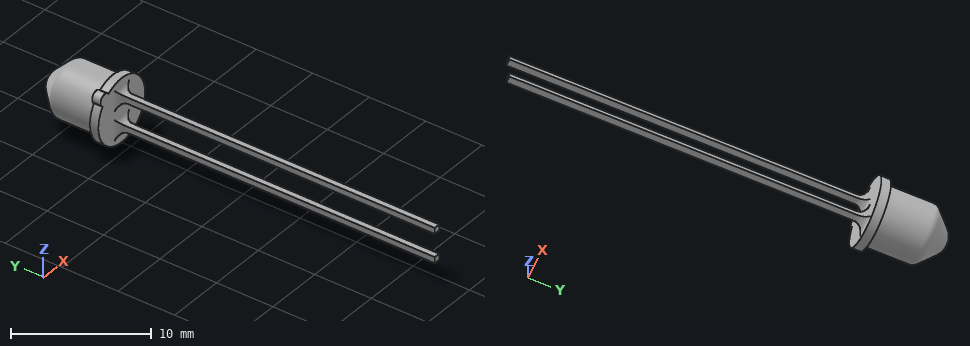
import cadquery as cq
import math

total_length = 34.3
lens_length = 6.38
lens_radius = 2.35
shoulder_radius = 0.72
nose_radius = 1.5
flange_diameter = 5.6
flange_thickness = 0.75
tab_offset = 2.02
tab_radius = 0.5
lead_width = 0.55
lead_spacing = 2.55
flare_radius = 0.72

flange_radius = flange_diameter / 2
lead_length = total_length - lens_length
cone_angle = 45.0
diagonal = math.cos(math.radians(cone_angle))


def arc_point(center_r, center_y, radius, angle):
    """Point on a profile arc; the angle in degrees is measured from the radial direction."""
    turn = math.radians(angle)
    return (center_r + radius * math.cos(turn), center_y + radius * math.sin(turn))


def make_lens():
    """Cylinder with a rounded shoulder, a 45 degree cone and a spherical nose, all tangent."""
    shoulder_r = lens_radius - shoulder_radius
    nose_y = lens_length - nose_radius
    cone_start_r = shoulder_r + shoulder_radius * diagonal
    cone_end_r = nose_radius * diagonal
    cone_end_y = nose_y + nose_radius * diagonal
    cone_start_y = cone_end_y - (cone_start_r - cone_end_r)
    shoulder_y = cone_start_y - shoulder_radius * diagonal
    return (
        cq.Workplane("XY")
        .lineTo(lens_radius, 0)
        .lineTo(lens_radius, shoulder_y)
        .threePointArc(
            arc_point(shoulder_r, shoulder_y, shoulder_radius, cone_angle / 2),
            (cone_start_r, cone_start_y),
        )
        .lineTo(cone_end_r, cone_end_y)
        .threePointArc(arc_point(0, nose_y, nose_radius, 90 - cone_angle / 2), (0, lens_length))
        .close()
        .revolve(360, (0, 0, 0), (0, 1, 0))
    )


def make_flange():
    """Round flange with a small round tab on its upper -X side."""
    base = cq.Workplane("XZ")
    disc = base.circle(flange_radius).extrude(-flange_thickness)
    tab = base.center(-tab_offset, tab_offset).circle(tab_radius).extrude(-flange_thickness)
    return disc.union(tab)


def flared_prism(plane):
    """Lead outline with a concave flare at its root, extruded both ways from the plane."""
    half = lead_width / 2
    root = half + flare_radius
    arc_offset = flare_radius * (1 - diagonal)
    return (
        cq.Workplane(plane)
        .moveTo(-root, 0)
        .lineTo(root, 0)
        .threePointArc((half + arc_offset, -arc_offset), (half, -flare_radius))
        .lineTo(half, -lead_length)
        .lineTo(-half, -lead_length)
        .lineTo(-half, -flare_radius)
        .threePointArc((-half - arc_offset, -arc_offset), (-root, 0))
        .close()
        .extrude(root, both=True)
    )


def make_lead():
    """Square lead whose four sides flare out with mitred corners."""
    side_plane = cq.Plane(origin=(0, 0, 0), xDir=(0, 0, 1), normal=(-1, 0, 0))
    return flared_prism("XY").intersect(flared_prism(side_plane))


result = make_lens().union(make_flange())
for side in (-1, 1):
    result = result.union(make_lead().translate((0, 0, side * lead_spacing / 2)))